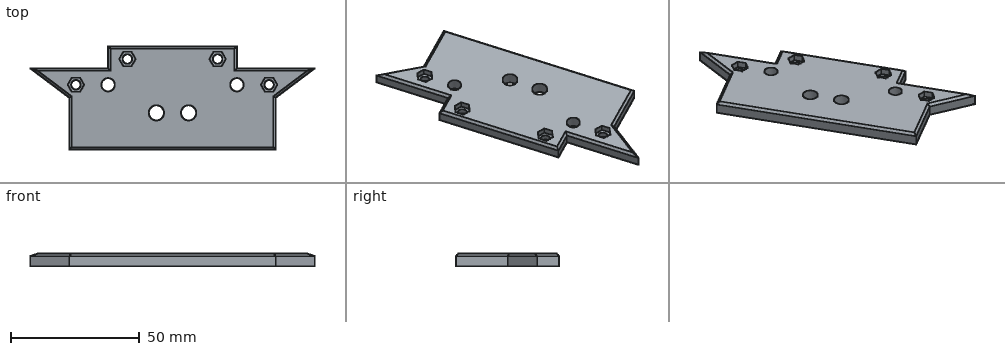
import cadquery as cq

span = 110.56
depth = 40.11
thickness = 5.0
body_width = 80.22
tab_width = 50.11
tab_depth = 8.55
wing_root_depth = 11.4
edge_chamfer = 1.0

side_hole_diameter = 5.1
side_hole_x = 25.0
centre_hole_diameter = 5.8
centre_hole_x = 6.25
centre_hole_y = -5.8

screw_diameter = 3.6
nut_across_corners = 6.4
nut_pocket_depth = 2.5
tab_screw_x = 17.5
tab_screw_y = 15.1
wing_screw_x = 37.5
wing_screw_y = 5.1
side_hole_y = wing_screw_y


def mirrored_pair(x, y):
    return [(-x, y), (x, y)]


def make_plate():
    rear = depth / 2
    front = -depth / 2
    wing_rear = rear - tab_depth
    wing_root = wing_rear - wing_root_depth
    right_side = [
        (body_width / 2, front),
        (body_width / 2, wing_root),
        (span / 2, wing_rear),
        (tab_width / 2, wing_rear),
        (tab_width / 2, rear),
    ]
    left_side = [(-x, y) for x, y in reversed(right_side)]
    blank = cq.Workplane("XY").polyline(right_side + left_side).close().extrude(thickness)
    return blank.faces(">Z").chamfer(edge_chamfer)


def drill(plate, points, diameter):
    drills = cq.Workplane("XY").pushPoints(points).circle(diameter / 2).extrude(thickness)
    return plate.cut(drills)


def cut_nut_pockets(plate, points):
    floor = cq.Workplane("XY").workplane(offset=thickness - nut_pocket_depth)
    pockets = floor.pushPoints(points).polygon(6, nut_across_corners).extrude(nut_pocket_depth)
    return plate.cut(pockets)


screw_points = mirrored_pair(tab_screw_x, tab_screw_y) + mirrored_pair(wing_screw_x, wing_screw_y)

plate = make_plate()
plate = drill(plate, mirrored_pair(side_hole_x, side_hole_y), side_hole_diameter)
plate = drill(plate, mirrored_pair(centre_hole_x, centre_hole_y), centre_hole_diameter)
plate = drill(plate, screw_points, screw_diameter)
result = cut_nut_pockets(plate, screw_points)